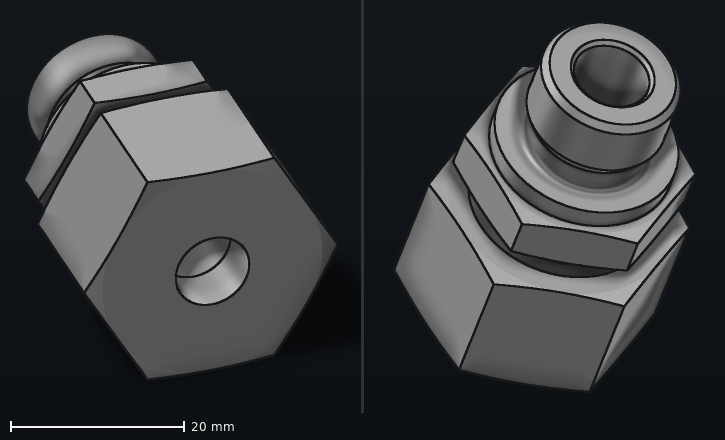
import cadquery as cq
import math

total_length = 41.0

stud_radius = 8.35
nose_chamfer = 0.8
thread_end_x = 7.45
undercut_start_x = 9.2
undercut_radius = 7.4
undercut_fillet = 1.2

collar_x = 12.0
collar_radius = 11.0
rim_radius = 10.5
dish_angle = math.radians(10)

body_hex_x = 14.5
body_hex_end_x = 20.5
body_hex_flats = 24.0
nut_x = 24.0
nut_flats = 27.0
hex_chamfer_angle = math.radians(15)

neck_radius = 9.85
neck_end_x = 23.12
nut_thread_radius = 11.0
lead_in_angle = math.radians(30)
nut_thread_depth = 10.65
nut_thread_end_x = nut_x + nut_thread_depth

bore_radius = 4.5
bore_chamfer = 0.5


def cylinder(radius, start_x, end_x):
    return cq.Workplane("YZ", origin=(start_x, 0, 0)).circle(radius).extrude(end_x - start_x)


def chamfered_hexagon(flats, start_x, end_x):
    """Hexagonal prism whose corners are turned down by a cone at each end."""
    corner_radius = flats / math.sqrt(3)
    flat_radius = flats / 2
    chamfer_length = (corner_radius - flat_radius) * math.tan(hex_chamfer_angle)
    prism = (
        cq.Workplane("YZ", origin=(start_x, 0, 0))
        .polygon(6, 2 * corner_radius)
        .extrude(end_x - start_x)
    )
    turned_envelope = (
        cq.Workplane("XY")
        .moveTo(start_x, 0)
        .lineTo(start_x, flat_radius)
        .lineTo(start_x + chamfer_length, corner_radius)
        .lineTo(end_x - chamfer_length, corner_radius)
        .lineTo(end_x, flat_radius)
        .lineTo(end_x, 0)
        .close()
        .revolve(360, (0, 0, 0), (1, 0, 0))
    )
    return prism.intersect(turned_envelope)


def turned_stud():
    """Turned profile of the body without its hexagon and bore.

    The undercut fillet is tangent to the undercut cylinder and to the dished collar face.
    """
    fillet_top_radius = undercut_radius + undercut_fillet * (1 + math.sin(dish_angle))
    fillet_top_x = collar_x + (rim_radius - fillet_top_radius) * math.tan(dish_angle)
    fillet_start_x = fillet_top_x - undercut_fillet * math.cos(dish_angle)
    fillet_middle_angle = (math.pi / 2 + dish_angle) / 2
    fillet_middle = (
        fillet_start_x + undercut_fillet * math.sin(fillet_middle_angle),
        undercut_radius + undercut_fillet * (1 - math.cos(fillet_middle_angle)),
    )
    lead_in_length = (nut_thread_radius - neck_radius) / math.tan(lead_in_angle)
    return (
        cq.Workplane("XY")
        .moveTo(0, 0)
        .lineTo(0, stud_radius - nose_chamfer)
        .lineTo(nose_chamfer, stud_radius)
        .lineTo(thread_end_x, stud_radius)
        .lineTo(undercut_start_x, undercut_radius)
        .lineTo(fillet_start_x, undercut_radius)
        .threePointArc(fillet_middle, (fillet_top_x, fillet_top_radius))
        .lineTo(collar_x, rim_radius)
        .lineTo(collar_x, collar_radius)
        .lineTo(body_hex_x, collar_radius)
        .lineTo(body_hex_x, neck_radius)
        .lineTo(neck_end_x, neck_radius)
        .lineTo(neck_end_x + lead_in_length, nut_thread_radius)
        .lineTo(nut_thread_end_x, nut_thread_radius)
        .lineTo(nut_thread_end_x, 0)
        .close()
        .revolve(360, (0, 0, 0), (1, 0, 0))
    )


def make_body():
    hexagon = chamfered_hexagon(body_hex_flats, body_hex_x, body_hex_end_x)
    bore = cylinder(bore_radius, 0, nut_thread_end_x)
    bore_entry = cq.Workplane(
        cq.Solid.makeCone(
            bore_radius + bore_chamfer, bore_radius, bore_chamfer,
            pnt=cq.Vector(0, 0, 0), dir=cq.Vector(1, 0, 0),
        )
    )
    return turned_stud().union(hexagon).cut(bore).cut(bore_entry)


def make_nut():
    hexagon = chamfered_hexagon(nut_flats, nut_x, total_length)
    thread_hole = cylinder(nut_thread_radius, nut_x, nut_thread_end_x)
    bore = cylinder(bore_radius, nut_thread_end_x, total_length)
    return hexagon.cut(thread_hole).cut(bore)


body = make_body()
nut = make_nut()

result = cq.Compound.makeCompound([body.val(), nut.val()])